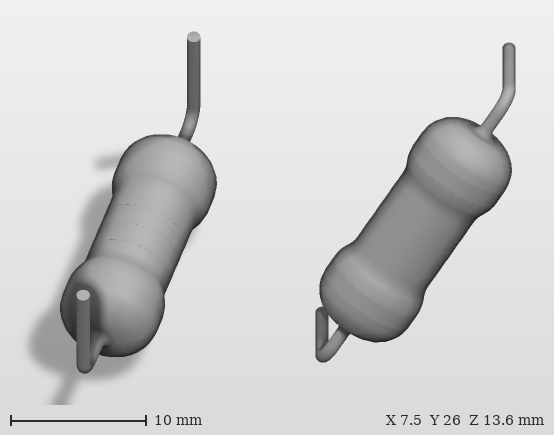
import cadquery as cq

cap_radius = 7.5 / 2
waist_radius = 6.37 / 2
body_half_length = 9.0
shoulder_outer_y = 5.2
shoulder_inner_y = 3.02

band_radius = 6.4 / 2
band_count = 3
band_pitch = 1.72
band_width = band_pitch / 2

lead_radius = 1.0 / 2
overall_length = 26
lead_y = overall_length / 2 - lead_radius
lead_top = 9.85
bend_radius = 1.5
lead_fillet = 0.7

flare_radius = lead_radius + lead_fillet
end_round = cap_radius - flare_radius
end_round_y = body_half_length - end_round

shoulder_mid_y = (shoulder_outer_y + shoulder_inner_y) / 2
shoulder_mid_radius = (cap_radius + waist_radius) / 2


def half_body(side):
    """Half of the body on one side of Y = 0, with the flare onto its lead."""
    diagonal = 0.5 ** 0.5
    round_mid = (
        cap_radius - end_round * (1 - diagonal),
        side * (end_round_y + end_round * diagonal),
    )
    flare_mid = (
        lead_radius + lead_fillet * (1 - diagonal),
        side * (body_half_length + lead_fillet * (1 - diagonal)),
    )
    return (
        cq.Workplane("XY")
        .lineTo(waist_radius, 0)
        .lineTo(waist_radius, side * shoulder_inner_y)
        .tangentArcPoint((shoulder_mid_radius, side * shoulder_mid_y), relative=False)
        .tangentArcPoint((cap_radius, side * shoulder_outer_y), relative=False)
        .lineTo(cap_radius, side * end_round_y)
        .threePointArc(round_mid, (flare_radius, side * body_half_length))
        .threePointArc(flare_mid, (lead_radius, side * (body_half_length + lead_fillet)))
        .lineTo(0, side * (body_half_length + lead_fillet))
        .close()
        .revolve(360, (0, 0, 0), (0, 1, 0))
    )


def band(center_y):
    """Thin raised color band around the waist."""
    return (
        cq.Workplane("XZ", origin=(0, center_y + band_width / 2, 0))
        .circle(band_radius)
        .extrude(band_width)
    )


def lead(side):
    """Wire that leaves the body along Y and bends up to Z."""
    path = (
        cq.Workplane("YZ")
        .moveTo(side * body_half_length, 0)
        .lineTo(side * (lead_y - bend_radius), 0)
        .tangentArcPoint((side * lead_y, bend_radius), relative=False)
        .lineTo(side * lead_y, lead_top)
    )
    return (
        cq.Workplane("XZ", origin=(0, side * body_half_length, 0))
        .circle(lead_radius)
        .sweep(path)
    )


result = half_body(1).union(half_body(-1))
for index in range(band_count):
    result = result.union(band((index - (band_count - 1) / 2) * band_pitch))
for side in (1, -1):
    result = result.union(lead(side))